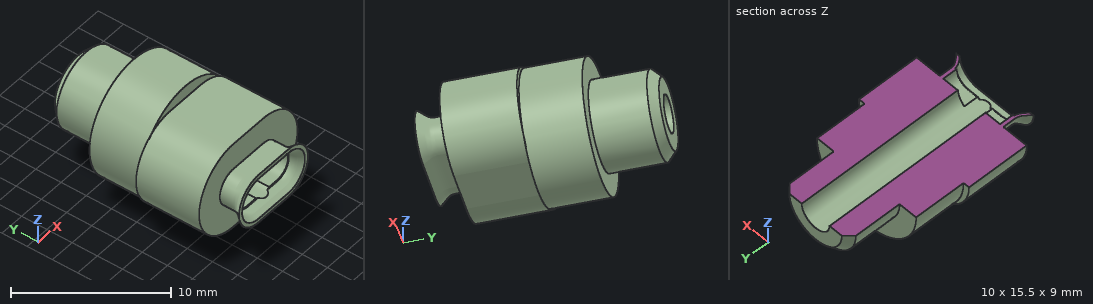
import cadquery as cq
import math

neck_length = 2.0
body_length = 5.0
collar_length = 4.09
shaft_length = 4.4
body_start = neck_length
collar_start = body_start + body_length
shaft_start = collar_start + collar_length
total_length = shaft_start + shaft_length

body_width = 10.0
body_height = 6.99
straight_length = body_width - body_height
collar_diameter = 9.0
shaft_diameter = 6.0
shaft_chamfer = 0.62
bore_diameter = 2.5

neck_radius = 1.4
wall = 0.25
bend_start = 1.04
bend_radius = 0.85
flare_angle = math.radians(40)

mouth_depth = 0.87
slot_height = 2.11
slot_depth = neck_length


def obround(height, start, end):
    """Obround prism along Y; the straight stretch is common to all obrounds."""
    plane = cq.Plane(origin=(0, start, 0), xDir=(1, 0, 0), normal=(0, 1, 0))
    return cq.Workplane(plane).slot2D(straight_length + height, height).extrude(end - start)


def cylinder(diameter, start, end):
    plane = cq.Plane(origin=(0, start, 0), xDir=(1, 0, 0), normal=(0, 1, 0))
    return cq.Workplane(plane).circle(diameter / 2).extrude(end - start)


def flared_obround(radius, bend, base):
    """Solid obround from depth base to the rim, with a bend and a cone opening outward."""
    def bend_point(angle):
        return (bend_start - bend * math.sin(angle), radius + bend * (1 - math.cos(angle)))

    cone_start, cone_radius = bend_point(flare_angle)
    rim_radius = cone_radius + cone_start * math.tan(flare_angle)

    first_angle = math.asin(max(0, bend_start - base) / bend)
    first_point = bend_point(first_angle)
    middle_point = bend_point((first_angle + flare_angle) / 2)

    def profile(x):
        outline = cq.Workplane("YZ", origin=(x, 0, 0)).moveTo(base, 0).lineTo(base, first_point[1])
        if base > bend_start:
            outline = outline.lineTo(*first_point)
        return (
            outline.threePointArc(middle_point, (cone_start, cone_radius))
            .lineTo(0, rim_radius)
            .lineTo(0, 0)
            .close()
        )

    upper = profile(-straight_length / 2).extrude(straight_length)
    right_end = profile(straight_length / 2).revolve(180, (0, 0, 0), (1, 0, 0))
    return (
        upper.union(upper.mirror("XY"))
        .union(right_end)
        .union(right_end.mirror("YZ"))
    )


body = obround(body_height, body_start, collar_start)
collar = cylinder(collar_diameter, collar_start, shaft_start)
shaft = cylinder(shaft_diameter, shaft_start, total_length).faces(">Y").chamfer(shaft_chamfer)

neck = flared_obround(neck_radius, bend_radius, neck_length)
mouth = flared_obround(neck_radius - wall, bend_radius + wall, mouth_depth)
slot = obround(slot_height, 0, slot_depth)
bore = cylinder(bore_diameter, 0, total_length)

result = body.union(collar).union(shaft).union(neck).cut(mouth).cut(slot).cut(bore)